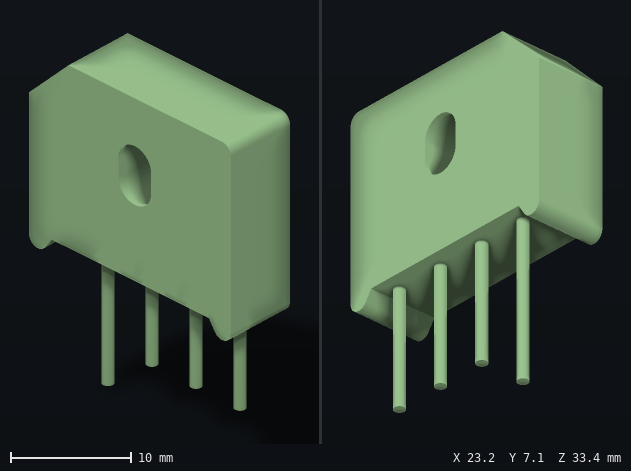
import cadquery as cq
import math

body_width = 23.2
body_depth = 7.1
body_height = 17.78
bevel = 4.55
corner_radius = 1.0

foot_drop = 1.5
foot_radius = 1.0
foot_width = 2.55

slot_width = 3.77
slot_length = 5.7
slot_x = 0.57
slot_z = 10.27

total_height = 33.35
lead_diameter = 1.1
lead_pitch = 5.07
lead_count = 4
first_lead_x = -7.55
lead_y = 1.67
short_lead_length = 11.57
long_lead_length = total_height - body_height
lead_embed = 1.0

half_width = body_width / 2
foot_center_x = half_width - foot_radius
foot_center_z = foot_radius - foot_drop
foot_inner_x = half_width - foot_width


def foot_tangent():
    """Point (right foot) where the line from the foot's inner top end touches the round tip."""
    dx = foot_inner_x - foot_center_x
    dz = -foot_center_z
    distance = math.hypot(dx, dz)
    angle = math.atan2(dz, dx) + math.acos(foot_radius / distance)
    return (
        foot_center_x + foot_radius * math.cos(angle),
        foot_center_z + foot_radius * math.sin(angle),
    )


def make_body():
    tangent_x, tangent_z = foot_tangent()
    foot_tip = (foot_center_x, -foot_drop)
    arc_offset = corner_radius * (1 - math.sqrt(0.5))
    outline = (
        cq.Workplane("XZ")
        .moveTo(-half_width, body_height - bevel)
        .lineTo(-half_width + bevel, body_height)
        .lineTo(half_width - corner_radius, body_height)
        .threePointArc(
            (half_width - arc_offset, body_height - arc_offset),
            (half_width, body_height - corner_radius),
        )
        .lineTo(half_width, foot_center_z)
        .threePointArc(foot_tip, (tangent_x, tangent_z))
        .lineTo(foot_inner_x, 0)
        .lineTo(-foot_inner_x, 0)
        .lineTo(-tangent_x, tangent_z)
        .threePointArc((-foot_tip[0], foot_tip[1]), (-half_width, foot_center_z))
        .close()
    )
    return outline.extrude(body_depth / 2, both=True)


def make_slot():
    return (
        cq.Workplane("XZ")
        .center(slot_x, slot_z)
        .slot2D(slot_length, slot_width, 90)
        .extrude(body_depth, both=True)
    )


def make_lead(index):
    length = long_lead_length if index == 0 else short_lead_length
    return (
        cq.Workplane("XY", origin=(first_lead_x + index * lead_pitch, lead_y, -length))
        .circle(lead_diameter / 2)
        .extrude(length + lead_embed)
    )


result = make_body().cut(make_slot())
for lead_index in range(lead_count):
    result = result.union(make_lead(lead_index))